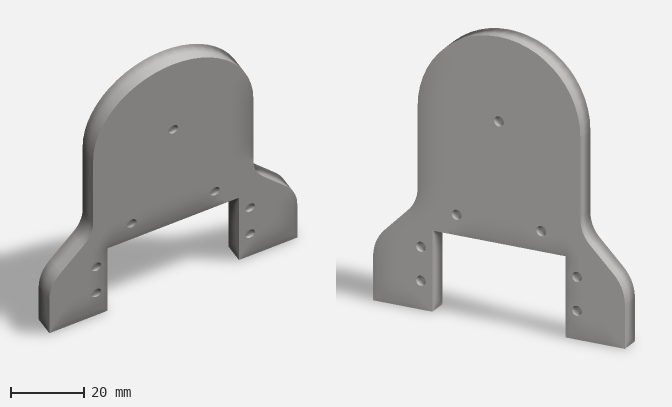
import cadquery as cq

thickness = 6.0
height = 85.0
foot_span = 77.35
head_radius = 25.0
shoulder_corner_height = 17.9
outer_shoulder_radius = 12.0
inner_shoulder_radius = 10.0

opening_width = 41.0
opening_height = 24.0

hole_diameter = 3.0
web_hole_offset = 13.0
web_hole_height = 30.0
foot_hole_offset = 24.0
foot_hole_heights = (8.5, 18.5)

half_span = foot_span / 2
half_opening = opening_width / 2
head_center_height = height - head_radius
neck_corner_height = shoulder_corner_height + half_span - head_radius


def make_plate():
    """Extrude the outline with sharp shoulders, then round the shoulders."""
    outline = (
        cq.Workplane("YZ")
        .moveTo(half_opening, 0)
        .lineTo(half_span, 0)
        .lineTo(half_span, shoulder_corner_height)
        .lineTo(head_radius, neck_corner_height)
        .lineTo(head_radius, head_center_height)
        .threePointArc((0, height), (-head_radius, head_center_height))
        .lineTo(-head_radius, neck_corner_height)
        .lineTo(-half_span, shoulder_corner_height)
        .lineTo(-half_span, 0)
        .lineTo(-half_opening, 0)
        .lineTo(-half_opening, opening_height)
        .lineTo(half_opening, opening_height)
        .close()
    )
    plate = outline.extrude(thickness / 2, both=True)
    shoulders = (
        (half_span, shoulder_corner_height, outer_shoulder_radius),
        (head_radius, neck_corner_height, inner_shoulder_radius),
    )
    for offset, corner_height, radius in shoulders:
        for side in (-1, 1):
            corner = cq.selectors.NearestToPointSelector((0, side * offset, corner_height))
            plate = plate.edges("|X").edges(corner).fillet(radius)
    return plate


def hole_positions():
    """Return the (Y, Z) centers: one in the head, two in the web, two per foot."""
    positions = [(0, head_center_height)]
    for side in (-1, 1):
        positions.append((side * web_hole_offset, web_hole_height))
        for hole_height in foot_hole_heights:
            positions.append((side * foot_hole_offset, hole_height))
    return positions


holes = (
    cq.Workplane("YZ")
    .pushPoints(hole_positions())
    .circle(hole_diameter / 2)
    .extrude(thickness, both=True)
)

result = make_plate().cut(holes)